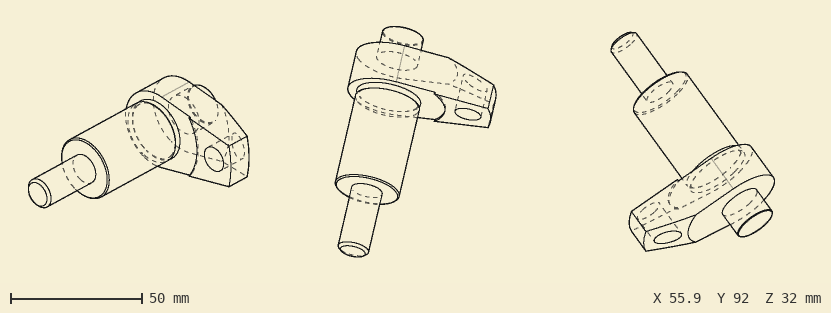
import cadquery as cq
import math

total_length = 92.0
hub_back = 10.9
hub_front = 26.2
arm_front = 27.0
groove_front = 28.6
body_front = 66.1

hub_radius = 32.0 / 2
body_radius = 25.0 / 2
back_pin_radius = 16.0 / 2
front_pin_radius = 12.0 / 2

back_pin_chamfer = 0.3
body_chamfer = 0.55
front_pin_chamfer = 1.1

groove_floor_radius = 11.6

arm_reach = 39.9
arm_taper = math.radians(10.5)
front_recess_radius = 22.1
bevel_start_radius = 23.6
bevel_end = 16.8

hole_diameter = 10.1
hole_distance = 31.0


def revolve_about_shaft(profile):
    """Revolve a closed (radius, y) profile around the shaft axis."""
    return profile.close().revolve(360, (0, 0, 0), (0, 1, 0))


def make_shaft():
    """Turned shaft: back pin, hub, relief groove, body and front pin."""
    groove_middle = (hub_front + groove_front) / 2
    profile = (
        cq.Workplane("XY")
        .moveTo(0, 0)
        .lineTo(back_pin_radius - back_pin_chamfer, 0)
        .lineTo(back_pin_radius, -back_pin_chamfer)
        .lineTo(back_pin_radius, -hub_back)
        .lineTo(hub_radius, -hub_back)
        .lineTo(hub_radius, -hub_front)
        .lineTo(body_radius, -hub_front)
        .threePointArc((groove_floor_radius, -groove_middle), (body_radius, -groove_front))
        .lineTo(body_radius, -(body_front - body_chamfer))
        .lineTo(body_radius - body_chamfer, -body_front)
        .lineTo(front_pin_radius, -body_front)
        .lineTo(front_pin_radius, -(total_length - front_pin_chamfer))
        .lineTo(front_pin_radius - front_pin_chamfer, -total_length)
        .lineTo(0, -total_length)
    )
    return revolve_about_shaft(profile)


def make_arm():
    """Tapered arm with a conical back bevel and a round recess in its front face."""
    tangent_x = hub_radius * math.sin(arm_taper)
    tangent_z = hub_radius * math.cos(arm_taper)
    side_length = math.sqrt(arm_reach**2 - hub_radius**2)
    tip_x = tangent_x + side_length * math.cos(arm_taper)
    tip_z = tangent_z - side_length * math.sin(arm_taper)
    outline = (
        cq.Workplane("XZ")
        .moveTo(tangent_x, tangent_z)
        .lineTo(tip_x, tip_z)
        .threePointArc((arm_reach, 0), (tip_x, -tip_z))
        .lineTo(tangent_x, -tangent_z)
        .threePointArc((-hub_radius, 0), (tangent_x, tangent_z))
        .close()
        .extrude(arm_front)
    )
    turned_envelope = revolve_about_shaft(
        cq.Workplane("XY")
        .moveTo(0, -hub_back)
        .lineTo(bevel_start_radius, -hub_back)
        .lineTo(arm_reach, -bevel_end)
        .lineTo(arm_reach, -arm_front)
        .lineTo(front_recess_radius, -arm_front)
        .lineTo(front_recess_radius, -hub_front)
        .lineTo(0, -hub_front)
    )
    hole = (
        cq.Workplane("XZ")
        .center(hole_distance, 0)
        .circle(hole_diameter / 2)
        .extrude(arm_front)
    )
    return outline.intersect(turned_envelope).cut(hole)


result = make_shaft().union(make_arm())